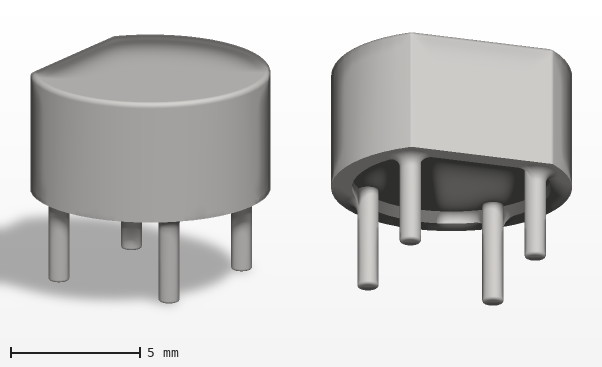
import cadquery as cq
import math

case_radius = 4.665
flat_distance = 3.67
case_height = 4.81
edge_radius = 0.2

wall = 0.8
recess_depth = 0.5

lead_radius = 0.41
lead_pitch = 5.1
lead_length = 3.52
lead_tip_radius = 0.1
lead_flare_radius = 0.45

tolerance = 0.0001


def flatted_disc(inset, height):
    """Disc with a flat at -X, its outline moved inward by inset, standing on Z = 0."""
    radius = case_radius - inset
    flat_x = inset - flat_distance
    half_flat = math.sqrt(radius**2 - flat_x**2)
    return (
        cq.Workplane("XY")
        .moveTo(flat_x, half_flat)
        .threePointArc((radius, 0), (flat_x, -half_flat))
        .close()
        .extrude(height)
    )


def make_case():
    """Rounded block with the recess cut into its underside."""
    block = flatted_disc(0, case_height).edges("|Z or >Z").fillet(edge_radius)
    return block.cut(flatted_disc(wall, recess_depth))


def make_leads():
    """Leads with rounded tips, reaching from the recess floor past the underside."""
    return (
        cq.Workplane("XY", origin=(0, 0, -lead_length))
        .rect(lead_pitch, lead_pitch, forConstruction=True)
        .vertices()
        .circle(lead_radius)
        .extrude(lead_length + recess_depth)
        .faces("<Z")
        .edges()
        .fillet(lead_tip_radius)
    )


def is_lead_root(edge):
    """True for the arcs where a lead meets the underside of the wall."""
    on_underside = abs(edge.Center().z) < tolerance
    return on_underside and abs(edge.radius() - lead_radius) < tolerance


body = make_case().union(make_leads())
result = body.edges("%CIRCLE").filter(is_lead_root).fillet(lead_flare_radius)